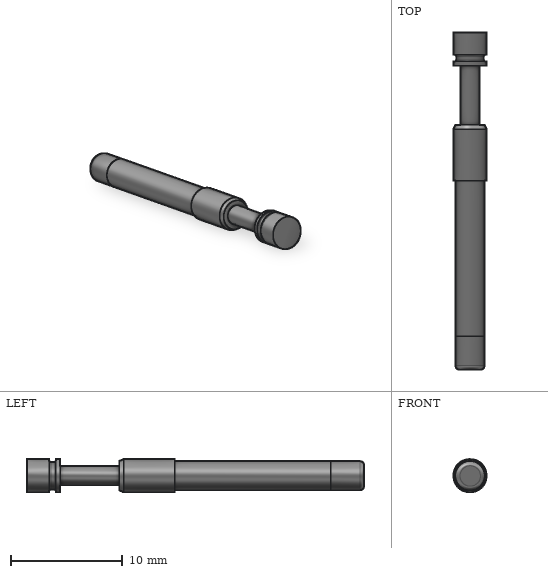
import cadquery as cq

total_length = 30.3

head_diameter = 3.0
head_length = 3.0
flange_thickness = 0.4
groove_width = 0.6
groove_floor_diameter = 2.5
groove_corner_radius = 0.15

rod_diameter = 1.75

collar_diameter = 3.0
collar_back_y = 17.0
collar_length = 5.0
collar_taper_length = 0.4

barrel_diameter = 2.65
cap_diameter = 2.64
cap_length = 3.0
tip_radius = 0.4

collar_nose_diameter = barrel_diameter
collar_front_y = collar_back_y + collar_length
head_back_y = total_length - head_length


def rod_section(diameter, start_y, end_y):
    """Solid cylinder about the Y axis from start_y to end_y."""
    plane = cq.Plane(origin=(0, start_y, 0), xDir=(1, 0, 0), normal=(0, 1, 0))
    return cq.Workplane(plane).circle(diameter / 2).extrude(end_y - start_y)


def revolve_about_y(profile):
    """Full turn of an XY half profile about the Y axis."""
    return profile.close().revolve(360, (0, 0, 0), (0, 1, 0))


def make_cap():
    """End cap, slightly slimmer than the barrel, with a rounded tip."""
    return rod_section(cap_diameter, 0, cap_length).faces("<Y").edges().fillet(tip_radius)


def make_barrel():
    return rod_section(barrel_diameter, cap_length, collar_back_y)


def make_collar():
    """Collar with a conical nose facing the plunger rod."""
    taper_start_y = collar_front_y - collar_taper_length
    profile = (
        cq.Workplane("XY")
        .moveTo(0, collar_back_y)
        .lineTo(collar_diameter / 2, collar_back_y)
        .lineTo(collar_diameter / 2, taper_start_y)
        .lineTo(collar_nose_diameter / 2, collar_front_y)
        .lineTo(0, collar_front_y)
    )
    return revolve_about_y(profile)


def make_rod():
    return rod_section(rod_diameter, collar_front_y, head_back_y)


def make_head():
    """Cylindrical head with a groove, rounded at its floor, in front of a thin flange."""
    outer = head_diameter / 2
    floor = groove_floor_diameter / 2
    groove_back_y = head_back_y + flange_thickness
    groove_front_y = groove_back_y + groove_width
    corner = groove_corner_radius
    profile = (
        cq.Workplane("XY")
        .moveTo(0, head_back_y)
        .lineTo(outer, head_back_y)
        .lineTo(outer, groove_back_y)
        .lineTo(floor + corner, groove_back_y)
        .radiusArc((floor, groove_back_y + corner), corner)
        .lineTo(floor, groove_front_y - corner)
        .radiusArc((floor + corner, groove_front_y), corner)
        .lineTo(outer, groove_front_y)
        .lineTo(outer, total_length)
        .lineTo(0, total_length)
    )
    return revolve_about_y(profile)


result = (
    make_barrel()
    .union(make_cap())
    .union(make_collar())
    .union(make_rod())
    .union(make_head())
)